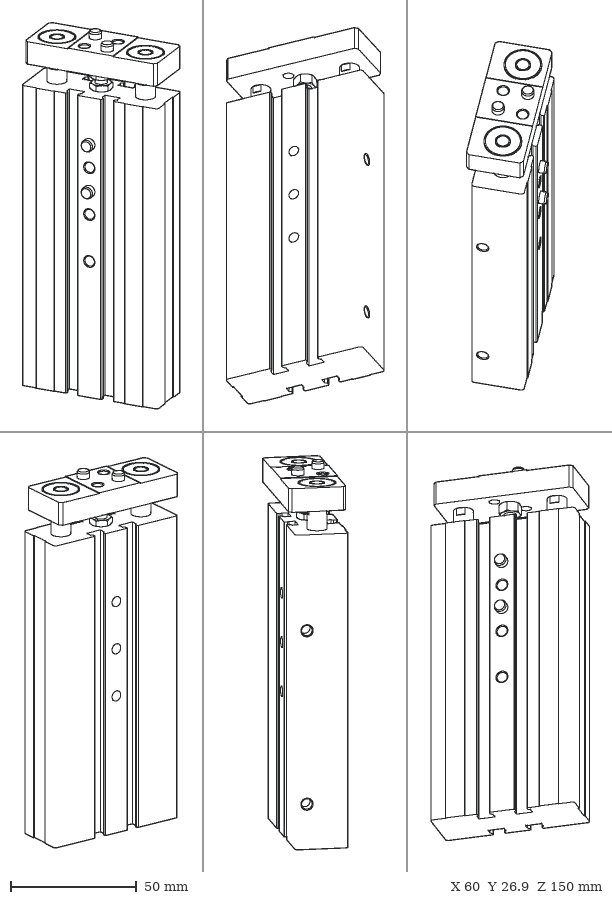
import cadquery as cq
import math


housing_width = 60.0
housing_height = 128.0
housing_face_y = 10.6
housing_corner_radius = 1.2
rib_height = 0.3
rod_strip_width = 8.0
side_groove_width = 8.0
side_groove_depth = 0.5

slot_x = 7.8
slot_neck_width = 4.8
slot_inner_width = 6.6
slot_floor_y = 6.0
slot_lip_thickness = 1.4
slot_edge_chamfer = 0.5

thread_diameter = 5.0
thread_core_diameter = 4.2
thread_chamfer = (thread_diameter - thread_core_diameter) / 2
hole_row_length = 50.0
hole_pitch = hole_row_length / 5
top_hole_z = 108.0
pin_steps = (0, 2)
open_hole_steps = (1, 3, 5)
port_y = 6.0
port_heights = (18.5, 89.0)
port_depth = 5.0
drill_tip_angle = 118

pin_projection = 3.0
pin_seat_depth = 5.0
pin_tip_length = 0.8
pin_tip_inset = 0.38

plate_width = 57.9
plate_front_y = -10.0
plate_back_y = 13.0
plate_bottom = 137.1
plate_top = 146.7
plate_corner_chamfer = 1.2
pad_width = 20.0
pad_top = 147.0

rod_x = 19.5
rod_diameter = 8.0
rod_head_diameter = 15.0
rod_head_height = 3.0
rod_head_chamfer = 0.52
rod_flat_gap = 7.0
rod_flat_height = 3.0
rod_stud_diameter = 6.0

hex_across_flats = 8.0
screw_head_height = 2.7
lock_nut_height = 4.2

front_y = -(housing_face_y + rib_height)


def box(x0, x1, y0, y1, z0, z1):
    """Box between two opposite corners."""
    return cq.Workplane("XY").box(x1 - x0, y1 - y0, z1 - z0, centered=False).translate((x0, y0, z0))


def threaded_hole(depth):
    """Core hole along -Z from the origin, with a chamfered mouth."""
    core = cq.Workplane("XY").circle(thread_core_diameter / 2).extrude(-depth)
    mouth = cq.Solid.makeCone(
        thread_core_diameter / 2, thread_diameter / 2, thread_chamfer, pnt=cq.Vector(0, 0, -thread_chamfer)
    )
    return core.union(cq.Workplane(mouth))


def to_front(shape, height):
    """Turn a shape that points along +Z so that it points out of the front face at a given height."""
    return shape.rotate((0, 0, 0), (1, 0, 0), 90).translate((0, front_y, height))


def pin_socket():
    return cq.Workplane("XY").circle(thread_diameter / 2).extrude(-pin_seat_depth)


def locating_pin():
    """Pin along Z: seated below the origin, with its tapered end above it."""
    pin = cq.Workplane("XY").workplane(offset=-pin_seat_depth).circle(thread_diameter / 2)
    return pin.extrude(pin_seat_depth + pin_projection).faces(">Z").chamfer(pin_tip_length, pin_tip_inset)


def front_slot():
    """The +X slot of the front pair: a T-slot with chamfered lips, its inner lip on the raised centre rib."""
    neck = slot_neck_width / 2
    inner = slot_inner_width / 2
    undercut = inner - neck
    lip_y = -(housing_face_y - slot_lip_thickness)
    mouth = neck + slot_edge_chamfer
    outline_points = [
        (-inner, -slot_floor_y),
        (-inner, lip_y + undercut),
        (-neck, lip_y),
        (-neck, front_y + slot_edge_chamfer),
        (-mouth, front_y),
        (mouth, front_y),
        (mouth, -housing_face_y),
        (neck, -housing_face_y + slot_edge_chamfer),
        (neck, lip_y),
        (inner, lip_y + undercut),
        (inner, -slot_floor_y),
    ]
    outline = cq.Workplane("XY").polyline(outline_points).close()
    return outline.extrude(housing_height).translate((slot_x, 0, 0))


def side_port():
    """Blind threaded port with a drill point, entering from the -X side."""
    radius = thread_core_diameter / 2
    tip_length = radius / math.tan(math.radians(drill_tip_angle / 2))
    tip = cq.Solid.makeCone(radius, 0, tip_length, pnt=cq.Vector(0, 0, -port_depth), dir=cq.Vector(0, 0, -1))
    port = threaded_hole(port_depth).union(cq.Workplane(tip))
    return port.rotate((0, 0, 0), (0, 1, 0), -90).translate((-housing_width / 2, port_y, 0))


def make_housing():
    half_width = housing_width / 2
    housing = box(-half_width, half_width, -housing_face_y, housing_face_y, 0, housing_height)
    housing = housing.edges("|Z").fillet(housing_corner_radius)
    centre_rib_half = slot_x - slot_neck_width / 2
    strips = [(0, centre_rib_half), (-rod_x, rod_strip_width / 2), (rod_x, rod_strip_width / 2)]
    for x, half in strips:
        housing = housing.union(box(x - half, x + half, front_y, 0, 0, housing_height))
    right_slot = front_slot()
    for slot in (right_slot, right_slot.mirror("YZ")):
        housing = housing.cut(slot).cut(slot.mirror("XZ"))
    groove_half = side_groove_width / 2
    housing = housing.cut(
        box(half_width - side_groove_depth, half_width, -groove_half, groove_half, 0, housing_height)
    )
    for step in open_hole_steps:
        hole = threaded_hole(housing_face_y - front_y)
        housing = housing.cut(to_front(hole, top_hole_z - step * hole_pitch))
    for step in pin_steps:
        housing = housing.cut(to_front(pin_socket(), top_hole_z - step * hole_pitch))
    for height in port_heights:
        housing = housing.cut(side_port().translate((0, 0, height)))
    return housing


def hexagon(bottom, height):
    """Hexagon with corners on the Y axis, its corners bevelled at both ends."""
    corner_diameter = hex_across_flats / math.cos(math.pi / 6)
    prism = cq.Workplane("XY").polygon(6, corner_diameter).extrude(height)
    prism = prism.rotate((0, 0, 0), (0, 0, 1), 90)
    bevel_width = (corner_diameter - hex_across_flats) / 2
    bevel_height = bevel_width * math.tan(math.pi / 6)
    envelope = cq.Workplane("XY").circle(corner_diameter / 2).extrude(height)
    envelope = envelope.faces("<Z or >Z").chamfer(bevel_height, bevel_width)
    return prism.intersect(envelope).translate((0, 0, bottom))


def make_end_plate():
    """End plate with its raised pad, rod seats, threaded holes, and the stop screw with its lock nut."""
    half_width = plate_width / 2
    plate = box(-half_width, half_width, plate_front_y, plate_back_y, plate_bottom, plate_top)
    plate = plate.edges("|Z").chamfer(plate_corner_chamfer)
    half_pad = pad_width / 2
    plate = plate.union(box(-half_pad, half_pad, plate_front_y, plate_back_y, plate_bottom, pad_top))
    for x in (-rod_x, rod_x):
        plate = plate.cut(rod_blank().translate((x, 0, 0)))
    for x, y in hole_corners(1):
        plate = plate.cut(threaded_hole(pad_top - plate_bottom).translate((x, y, pad_top)))
    for x, y in hole_corners(-1):
        plate = plate.cut(pin_socket().translate((x, y, pad_top)))
    shank = cq.Workplane("XY").circle(thread_diameter / 2).extrude(plate_bottom - housing_height)
    plate = plate.union(shank.translate((0, 0, housing_height)))
    plate = plate.union(hexagon(housing_height, screw_head_height))
    return plate.union(hexagon(plate_bottom - lock_nut_height, lock_nut_height))


def hole_corners(diagonal):
    """Two opposite corners of the hole square; diagonal 1 rises to the right, -1 falls."""
    half = hole_pitch / 2
    return [(-half, -half * diagonal), (half, half * diagonal)]


def rod_blank():
    """Rod from the housing to the top of the end plate, with its round head, before any detail."""
    rod = cq.Workplane("XY").circle(rod_diameter / 2).extrude(plate_top - housing_height)
    head = cq.Workplane("XY").circle(rod_head_diameter / 2).extrude(rod_head_height)
    head = head.translate((0, 0, plate_top - rod_head_height))
    return rod.translate((0, 0, housing_height)).union(head)


def stud_groove():
    """Ring groove in the rod head that leaves the stud end with a bevelled rim."""
    radius = rod_stud_diameter / 2
    groove_floor = plate_top - rod_head_chamfer
    disc = cq.Workplane("XY").circle(radius).extrude(rod_head_chamfer).translate((0, 0, groove_floor))
    stud_end = cq.Solid.makeCone(
        radius, radius - rod_head_chamfer, rod_head_chamfer, pnt=cq.Vector(0, 0, groove_floor)
    )
    return disc.cut(cq.Workplane(stud_end))


def make_guide_rod():
    rod = rod_blank().faces(">Z").chamfer(rod_head_chamfer)
    flat_y = rod_flat_gap / 2
    for y0, y1 in ((flat_y, rod_diameter), (-rod_diameter, -flat_y)):
        rod = rod.cut(box(-rod_diameter, rod_diameter, y0, y1, plate_bottom - rod_flat_height, plate_bottom))
    return rod.cut(stud_groove())


housing = make_housing()
end_plate = make_end_plate()
guide_rods = [make_guide_rod().translate((x, 0, 0)) for x in (-rod_x, rod_x)]
front_pins = [to_front(locating_pin(), top_hole_z - step * hole_pitch) for step in pin_steps]
plate_pins = [locating_pin().translate((x, y, pad_top)) for x, y in hole_corners(-1)]

bodies = [housing, end_plate, *guide_rods, *front_pins, *plate_pins]
result = cq.Compound.makeCompound([body.solids().val() for body in bodies])